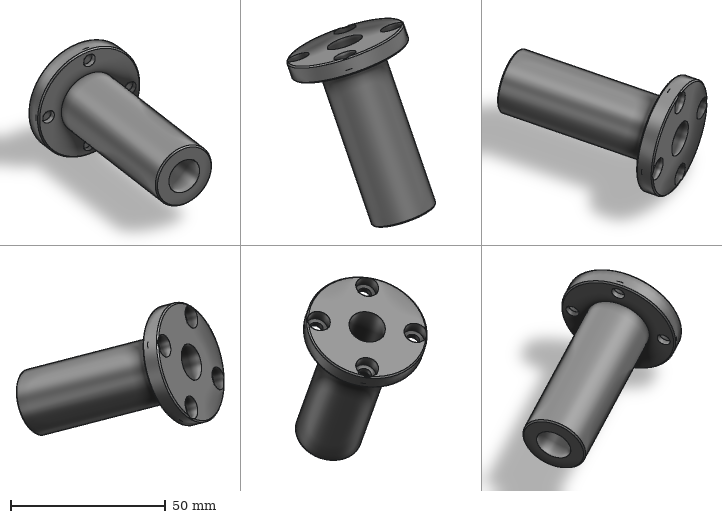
import cadquery as cq

flange_diameter = 40.0
flange_thickness = 6.0
sleeve_diameter = 22.0
sleeve_length = 55.0
bore_diameter = 12.0
edge_chamfer = 0.5

bolt_circle_diameter = 32.0
bolt_count = 4
bolt_hole_diameter = 4.5
counterbore_diameter = 7.5
counterbore_depth = 4.1

flange_face_x = 0.0
total_length = flange_thickness + sleeve_length


def cylinder_along_x(start_x, diameter, length):
    """Cylinder on the X axis, running toward +X from start_x."""
    return cq.Workplane("YZ", origin=(start_x, 0, 0)).circle(diameter / 2).extrude(length)


def make_flange():
    """Disc with both rims chamfered."""
    disc = cylinder_along_x(flange_face_x, flange_diameter, flange_thickness)
    return disc.faces("<X or >X").edges().chamfer(edge_chamfer)


def make_sleeve():
    """Long round sleeve with its free end chamfered."""
    sleeve = cylinder_along_x(flange_face_x + flange_thickness, sleeve_diameter, sleeve_length)
    return sleeve.faces(">X").edges().chamfer(edge_chamfer)


def bolt_holes(diameter, depth):
    """Ring of cylinders on the bolt circle, sunk from the outer flange face."""
    return (
        cq.Workplane("YZ", origin=(flange_face_x, 0, 0))
        .polarArray(bolt_circle_diameter / 2, 0, 360, bolt_count)
        .circle(diameter / 2)
        .extrude(depth)
    )


body = make_flange().union(make_sleeve())
body = body.cut(cylinder_along_x(flange_face_x, bore_diameter, total_length))
body = body.cut(bolt_holes(bolt_hole_diameter, flange_thickness))
result = body.cut(bolt_holes(counterbore_diameter, counterbore_depth))